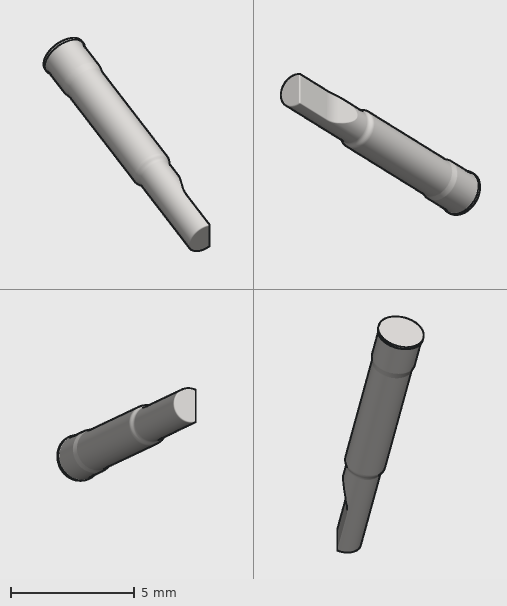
import cadquery as cq
import math

length = 11.33
flange_width = 0.12
head_end = 1.5
body_start = 1.77
body_end = 7.04

flange_diameter = 1.89
head_diameter = 1.8
body_diameter = 1.68
tail_diameter = 1.45

flange_root_radius = 0.02
neck_blend_radius = 0.12

shoulder_length = 0.34
shoulder_angle = math.radians(30)

ramp_start = 8.02
ramp_angle = math.radians(21)
flat_height = 0.27
ramp_blend_radius = 1.59

flat_edge_radius = 0.05

tip_radius = 0.06

flange_radius = flange_diameter / 2
head_radius = head_diameter / 2
body_radius = body_diameter / 2
tail_radius = tail_diameter / 2

shoulder_drop = body_radius - tail_radius
blend_length = (shoulder_length * math.tan(shoulder_angle) - shoulder_drop) / (
    2 * (math.tan(shoulder_angle) - math.tan(shoulder_angle / 2))
)
blend_radius = blend_length / math.sin(shoulder_angle)
blend_drop = blend_radius * (1 - math.cos(shoulder_angle))
mid_length = blend_radius * math.sin(shoulder_angle / 2)
mid_drop = blend_radius * (1 - math.cos(shoulder_angle / 2))
tail_start = body_end + shoulder_length


def turned_pin():
    """Half profile revolved about the X axis."""
    profile = (
        cq.Workplane("XY")
        .lineTo(0, flange_radius)
        .lineTo(flange_width, flange_radius)
        .lineTo(flange_width, head_radius)
        .lineTo(head_end, head_radius)
        .lineTo(body_start, body_radius)
        .lineTo(body_end, body_radius)
        .threePointArc(
            (body_end + mid_length, body_radius - mid_drop),
            (body_end + blend_length, body_radius - blend_drop),
        )
        .lineTo(tail_start - blend_length, tail_radius + blend_drop)
        .threePointArc(
            (tail_start - mid_length, tail_radius + mid_drop),
            (tail_start, tail_radius),
        )
        .lineTo(length, tail_radius)
        .lineTo(length, 0)
        .close()
    )
    return profile.revolve(360, (0, 0, 0), (1, 0, 0))


def circle_at(x, radius):
    """Selector for the circular edge of the given radius at x."""
    margin = 0.001
    return cq.selectors.BoxSelector(
        (x - margin, -radius - margin, -radius - margin),
        (x + margin, radius + margin, radius + margin),
        boundingbox=True,
    )


def blend_head(pin):
    """Round the flange root and both ends of the conical neck."""
    pin = pin.edges(circle_at(flange_width, head_radius)).fillet(flange_root_radius)
    neck_edges = circle_at(head_end, head_radius) + circle_at(body_start, body_radius)
    return pin.edges(neck_edges).fillet(neck_blend_radius)


def flat_cutter():
    """Material above the ramp and flat, with a rounded foot on the ramp."""
    ramp_length = (tail_radius - flat_height) / math.tan(ramp_angle)
    foot_x = ramp_start + ramp_length
    return (
        cq.Workplane("XY")
        .moveTo(ramp_start, tail_radius)
        .lineTo(foot_x, flat_height)
        .lineTo(length, flat_height)
        .lineTo(length, tail_radius)
        .close()
        .extrude(tail_radius, both=True)
        .edges(cq.selectors.NearestToPointSelector((foot_x, flat_height, 0)))
        .fillet(ramp_blend_radius)
    )


def round_flat_edges(pin):
    """Round the long edges where the ramp and flat meet the round tail."""
    flat_region = cq.selectors.BoxSelector(
        (ramp_start, 0, -tail_radius),
        (length - tip_radius, tail_radius, tail_radius),
    )
    crosswise = cq.selectors.ParallelDirSelector(cq.Vector(0, 0, 1))
    return pin.edges(flat_region - crosswise).fillet(flat_edge_radius)


pin = blend_head(turned_pin()).cut(flat_cutter())
pin = round_flat_edges(pin)
result = pin.faces(">X").edges().fillet(tip_radius).solids()